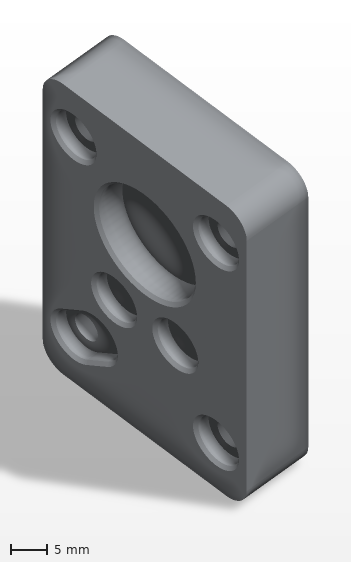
import cadquery as cq
import math

width = 40.0
thickness = 11.8
height = 58.2
corner_radius = 4.0

edge_chamfer = 0.5
large_diameter = 19.0
large_depth = 5.0
large_z = 9.1
small_diameter = 8.0
small_depth = 2.5
small_x = 6.0
small_z = -6.6

screw_diameter = 4.5
screw_x = 13.95
screw_z = 20.0

slot_run = 4.2
slot_rise = 2.8

front = cq.Plane(origin=(0, -thickness / 2, 0), xDir=(1, 0, 0), normal=(0, -1, 0))


def chamfered_pocket(outline, depth):
    """Flat-bottomed pocket whose rim flares out to the given outline at 45 degrees."""
    rim = outline.extrude(-edge_chamfer, taper=45)
    throat = cq.Workplane(front).workplane(offset=-edge_chamfer)
    throat = throat.add(rim.faces(">Y").wires()).toPending()
    return rim.union(throat.extrude(edge_chamfer - depth))


def round_pocket(x, z, diameter, depth):
    """Round pocket centred at the given X and Z."""
    outline = cq.Workplane(front).center(x, z).circle(diameter / 2 + edge_chamfer)
    return chamfered_pocket(outline, depth)


def slot_pocket():
    """Slot running from the lower left screw hole towards the middle of the plate."""
    rim_diameter = small_diameter + 2 * edge_chamfer
    slot_length = math.hypot(slot_run, slot_rise) + rim_diameter
    slot_angle = math.degrees(math.atan2(slot_rise, slot_run))
    outline = (
        cq.Workplane(front)
        .center(-screw_x + slot_run / 2, -screw_z + slot_rise / 2)
        .slot2D(slot_length, rim_diameter, slot_angle)
    )
    return chamfered_pocket(outline, small_depth)


plate = cq.Workplane("XY").box(width, thickness, height).edges("|Y").fillet(corner_radius)

screw_points = [(x, z) for x in (-screw_x, screw_x) for z in (-screw_z, screw_z)]
screw_holes = (
    cq.Workplane(front).pushPoints(screw_points).circle(screw_diameter / 2).extrude(-thickness)
)
result = plate.cut(screw_holes)

result = result.cut(round_pocket(0, large_z, large_diameter, large_depth))

for x in (-small_x, small_x):
    result = result.cut(round_pocket(x, small_z, small_diameter, small_depth))

for x, z in screw_points:
    if (x, z) == (-screw_x, -screw_z):
        result = result.cut(slot_pocket())
    else:
        result = result.cut(round_pocket(x, z, small_diameter, small_depth))